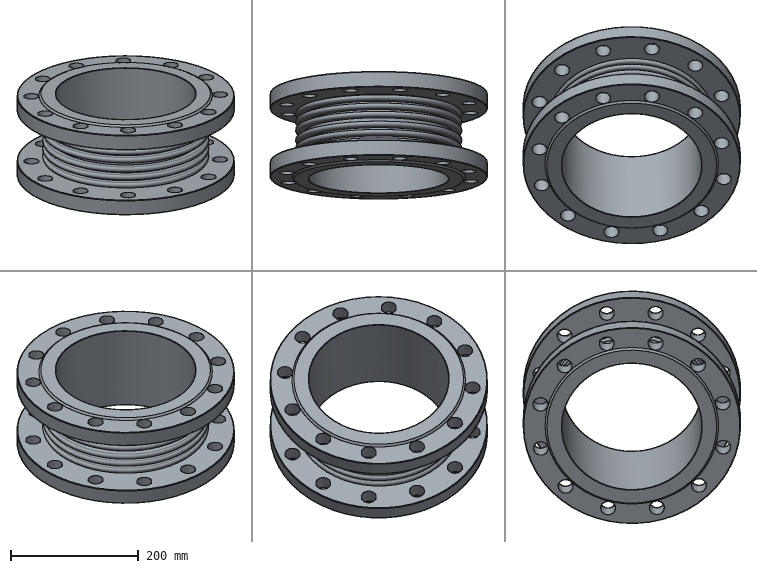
import cadquery as cq

flange_diameter = 340.0
overall_height = 140.0

raised_height = 3.0
raised_base_diameter = 271.3
flange_thickness = 24.8
flange_edge_chamfer = 1.0

bolt_count = 12
bolt_hole_diameter = 23.0
bolt_circle_diameter = 295.0

bore_diameter = 219.0
bore_edge_chamfer = 0.7
collar_diameter = 230.0
bellows_diameter = 234.3
ring_diameter = 260.0
ring_width = 8.5
ring_pitch = 13.3
inner_ring_height = 7.8
rings_per_half = 3

flange_outer_z = overall_height / 2 - raised_height
flange_inner_z = flange_outer_z - flange_thickness
outer_ring_height = inner_ring_height + (rings_per_half - 1) * ring_pitch


def disc(diameter, bottom, height):
    """Solid disc on the Z axis, starting at the given height."""
    return cq.Workplane("XY").workplane(offset=bottom).circle(diameter / 2).extrude(height)


def upper_flange():
    """Drilled flange with a tapered raised face on top."""
    plate = disc(flange_diameter, flange_inner_z, flange_thickness).edges().chamfer(flange_edge_chamfer)
    raised_top_radius = raised_base_diameter / 2 - raised_height
    raised_face = (
        cq.Workplane("XZ")
        .moveTo(0, flange_outer_z)
        .lineTo(raised_base_diameter / 2, flange_outer_z)
        .lineTo(raised_top_radius, overall_height / 2)
        .lineTo(0, overall_height / 2)
        .close()
        .revolve(360, (0, 0, 0), (0, 1, 0))
    )
    bolt_holes = (
        cq.Workplane("XY")
        .workplane(offset=flange_inner_z)
        .polarArray(bolt_circle_diameter / 2, 180 / bolt_count, 360, bolt_count)
        .circle(bolt_hole_diameter / 2)
        .extrude(flange_thickness)
    )
    return plate.cut(bolt_holes).union(raised_face)


def bellows_ring(center_z):
    """Flat-sided convolution with a fully rounded rim."""
    rim_start = ring_diameter / 2 - ring_width / 2
    bottom = center_z - ring_width / 2
    top = center_z + ring_width / 2
    return (
        cq.Workplane("XZ")
        .moveTo(0, bottom)
        .lineTo(rim_start, bottom)
        .threePointArc((ring_diameter / 2, center_z), (rim_start, top))
        .lineTo(0, top)
        .close()
        .revolve(360, (0, 0, 0), (0, 1, 0))
    )


body = disc(collar_diameter, -flange_inner_z, 2 * flange_inner_z)
body = body.union(disc(bellows_diameter, -outer_ring_height, 2 * outer_ring_height))

for index in range(rings_per_half):
    ring_height = inner_ring_height + index * ring_pitch
    body = body.union(bellows_ring(ring_height)).union(bellows_ring(-ring_height))

flange = upper_flange()
body = body.union(flange).union(flange.mirror("XY"))

bore = disc(bore_diameter, -overall_height / 2, overall_height)
result = body.cut(bore)
result = result.faces("<Z or >Z").edges("%CIRCLE").edges(cq.selectors.RadiusNthSelector(0))
result = result.chamfer(bore_edge_chamfer)